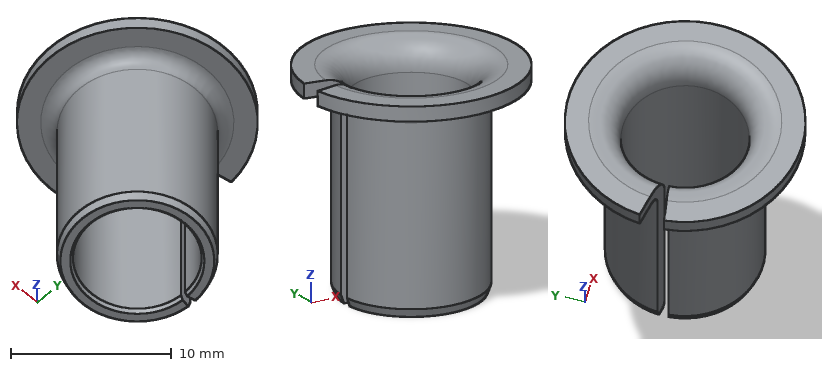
import cadquery as cq
import math

height = 15.0
flange_radius = 7.5
bore_radius = 4.0
wall = 1.0
chamfer_height = 0.6
chamfer_angle = 20.0
bore_chamfer_height = 0.3
bore_chamfer_angle = 30.0
slot_apex_radius = 3.0
slot_half_angle = 10.0

sleeve_radius = bore_radius + wall
outer_flare = wall
inner_flare = outer_flare + wall
flare_center_radius = bore_radius + inner_flare
flare_center_z = height - inner_flare
flange_bottom_z = height - wall
chamfer_width = chamfer_height * math.tan(math.radians(chamfer_angle))
bore_chamfer_width = bore_chamfer_height * math.tan(math.radians(bore_chamfer_angle))
slot_reach = flange_radius + wall
diagonal = math.sqrt(0.5)


def flare_midpoint(radius):
    """Middle of the quarter arc that turns the sleeve into the flange."""
    return (flare_center_radius - radius * diagonal, flare_center_z + radius * diagonal)


def flanged_bushing():
    """Revolve the wall section around Z, with the seam on the -X side where the slot removes it."""
    return (
        cq.Workplane("XZ")
        .moveTo(bore_radius, bore_chamfer_height)
        .lineTo(bore_radius + bore_chamfer_width, 0)
        .lineTo(sleeve_radius - chamfer_width, 0)
        .lineTo(sleeve_radius, chamfer_height)
        .lineTo(sleeve_radius, flare_center_z)
        .threePointArc(flare_midpoint(outer_flare), (flare_center_radius, flange_bottom_z))
        .lineTo(flange_radius, flange_bottom_z)
        .lineTo(flange_radius, height)
        .lineTo(flare_center_radius, height)
        .threePointArc(flare_midpoint(inner_flare), (bore_radius, flare_center_z))
        .close()
        .revolve(360, (0, 0, 0), (0, 1, 0))
        .rotate((0, 0, 0), (0, 0, 1), 180)
    )


def wedge_slot():
    """Full-height wedge that opens the bushing towards -X."""
    half_width = (slot_reach - slot_apex_radius) * math.tan(math.radians(slot_half_angle))
    return (
        cq.Workplane("XY")
        .polyline([(-slot_apex_radius, 0), (-slot_reach, half_width), (-slot_reach, -half_width)])
        .close()
        .extrude(height)
    )


result = flanged_bushing().cut(wedge_slot())